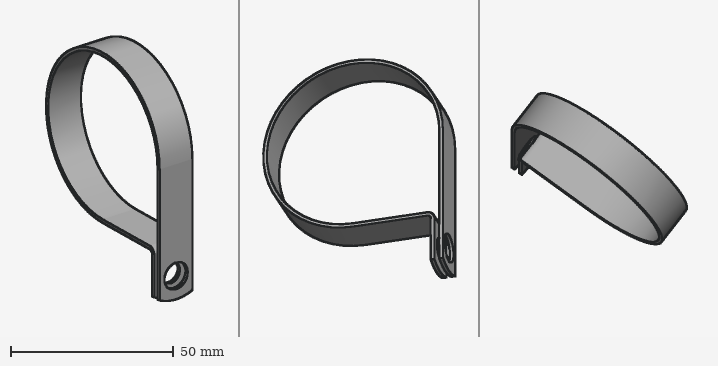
import cadquery as cq
import math

outer_diameter = 58.0
total_height = 75.0
strap_width = 12.7
thickness = 1.2
tab_gap = 1.6
bend_inner_radius = 1.1
short_tab_hole_diameter = 7.1
long_tab_hole_diameter = 9.0
hole_to_end = 8.0
end_radius = 15.0

outer_radius = outer_diameter / 2
inner_radius = outer_radius - thickness
bend_outer_radius = bend_inner_radius + thickness
bottom_z = outer_radius - total_height
short_tab_right_x = inner_radius - tab_gap
short_tab_left_x = short_tab_right_x - thickness
bend_x = short_tab_right_x - bend_outer_radius
bend_z = -inner_radius - bend_outer_radius
diagonal = math.sqrt(0.5)


def make_strap():
    """Three-quarter loop with a straight long tab and a bent short tab."""
    profile = (
        cq.Workplane("XZ")
        .moveTo(outer_radius, bottom_z)
        .lineTo(outer_radius, 0)
        .threePointArc((-outer_radius * diagonal, outer_radius * diagonal), (0, -outer_radius))
        .lineTo(bend_x, -outer_radius)
        .threePointArc(
            (bend_x + bend_inner_radius * diagonal, bend_z + bend_inner_radius * diagonal),
            (short_tab_left_x, bend_z),
        )
        .lineTo(short_tab_left_x, bottom_z)
        .lineTo(short_tab_right_x, bottom_z)
        .lineTo(short_tab_right_x, bend_z)
        .threePointArc(
            (bend_x + bend_outer_radius * diagonal, bend_z + bend_outer_radius * diagonal),
            (bend_x, -inner_radius),
        )
        .lineTo(0, -inner_radius)
        .threePointArc((-inner_radius * diagonal, inner_radius * diagonal), (inner_radius, 0))
        .lineTo(inner_radius, bottom_z)
        .close()
    )
    return profile.extrude(strap_width / 2, both=True)


def make_end_envelope():
    """Outline across the width, with a convex lower end, swept along X."""
    half_width = strap_width / 2
    corner_z = bottom_z + end_radius - math.sqrt(end_radius**2 - half_width**2)
    return (
        cq.Workplane("YZ")
        .moveTo(-half_width, outer_radius)
        .lineTo(-half_width, corner_z)
        .threePointArc((0, bottom_z), (half_width, corner_z))
        .lineTo(half_width, outer_radius)
        .close()
        .extrude(outer_radius, both=True)
    )


def make_bolt_hole(diameter, start_x):
    """Cylinder along X, one strap thickness long, centred on the bolt axis."""
    return (
        cq.Workplane("YZ", origin=(start_x, 0, bottom_z + hole_to_end))
        .circle(diameter / 2)
        .extrude(thickness)
    )


result = (
    make_strap()
    .intersect(make_end_envelope())
    .cut(make_bolt_hole(short_tab_hole_diameter, short_tab_left_x))
    .cut(make_bolt_hole(long_tab_hole_diameter, inner_radius))
)